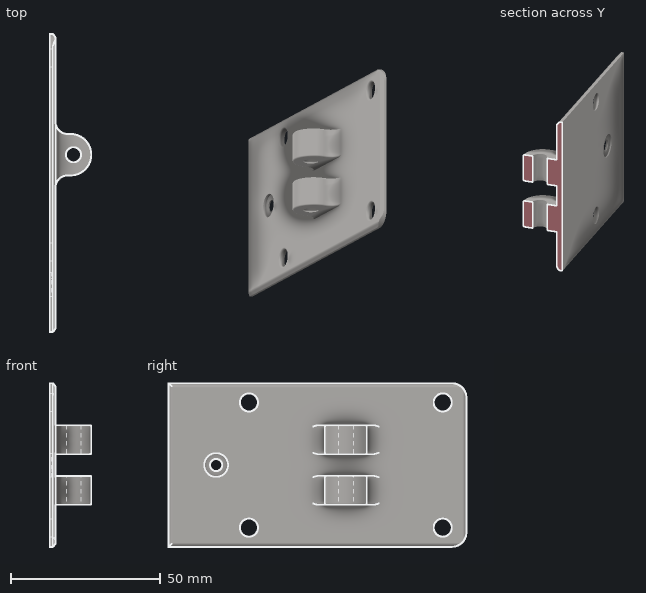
import math

import cadquery as cq

thickness = 2.0
length = 100.0
height = 55.0
corner_radius = 5.0
bevel = 1.0
bevel_rounding = 1.0

mount_diameter = 6.0
mount_rounding = 0.5
mount_spacing_y = 65.0
mount_spacing_z = 42.0
mount_top_offset = 8.0
mount_center_y = length / 2 - mount_top_offset - mount_spacing_y / 2
mount_points = [
    (mount_center_y + side_y * mount_spacing_y / 2, side_z * mount_spacing_z / 2)
    for side_y in (-1, 1)
    for side_z in (-1, 1)
]

screw_diameter = 4.0
counterbore_diameter = 8.0
back_counterbore_depth = 0.5
web_thickness = 0.5
front_counterbore_depth = thickness - back_counterbore_depth - web_thickness
screw_end_offset = 16.0
screw_y = -length / 2 + screw_end_offset

lug_reach = 14.0
lug_radius = 7.0
lug_width = 9.8
lug_gap = 7.2
lug_rounding = 0.5
root_radius = 4.0
pin_diameter = 5.0
pin_x = 8.0
lug_y = mount_center_y


def cylinders_along_x(diameter, depth, points):
    """Cylinders starting on the back face and running along +X."""
    return cq.Workplane("YZ").pushPoints(points).circle(diameter / 2).extrude(depth)


def make_plate():
    """Plate with softened bevels on the front edges; the two +Y corners are rounded through the bevel."""
    plate = cq.Workplane("YZ").rect(length, height).extrude(thickness)
    plate = plate.faces(">X").edges().chamfer(bevel)
    plate = plate.faces(">X").edges().fillet(bevel_rounding)
    plate = plate.cut(cylinders_along_x(mount_diameter, thickness, mount_points))
    plate = plate.faces(">X").edges("%CIRCLE").fillet(mount_rounding)
    outline = cq.Workplane("YZ").rect(length, height).extrude(thickness)
    outline = outline.edges("|X and >Y").fillet(corner_radius)
    return plate.intersect(outline)


def make_lug(bottom_z):
    """Round-nosed lug with concave root curves flaring out onto the plate."""
    nose_x = lug_reach - lug_radius
    root_x = thickness + root_radius
    root_y = lug_radius + root_radius
    root_middle_x = root_x - root_radius * math.sin(math.pi / 4)
    root_middle_y = root_y - root_radius * math.cos(math.pi / 4)
    lug = (
        cq.Workplane("XY", origin=(0, lug_y, bottom_z))
        .moveTo(thickness, -root_y)
        .threePointArc((root_middle_x, -root_middle_y), (root_x, -lug_radius))
        .lineTo(nose_x, -lug_radius)
        .threePointArc((lug_reach, 0), (nose_x, lug_radius))
        .lineTo(root_x, lug_radius)
        .threePointArc((root_middle_x, root_middle_y), (thickness, root_y))
        .close()
        .extrude(lug_width)
    )
    lug = lug.faces("|Z").edges("not(<X)").fillet(lug_rounding)
    pin = cq.Workplane("XY", origin=(pin_x, lug_y, bottom_z)).circle(pin_diameter / 2).extrude(lug_width)
    return lug.cut(pin)


def cut_screw_hole(body):
    """Through hole in a thin web left between the back and front counterbores."""
    screw_point = [(screw_y, 0)]
    body = body.cut(cylinders_along_x(screw_diameter, thickness, screw_point))
    body = body.cut(cylinders_along_x(counterbore_diameter, back_counterbore_depth, screw_point))
    front_counterbore = cylinders_along_x(counterbore_diameter, front_counterbore_depth, screw_point)
    return body.cut(front_counterbore.translate((thickness - front_counterbore_depth, 0, 0)))


result = cut_screw_hole(make_plate())
for lug_bottom in (lug_gap / 2, -lug_gap / 2 - lug_width):
    result = result.union(make_lug(lug_bottom))